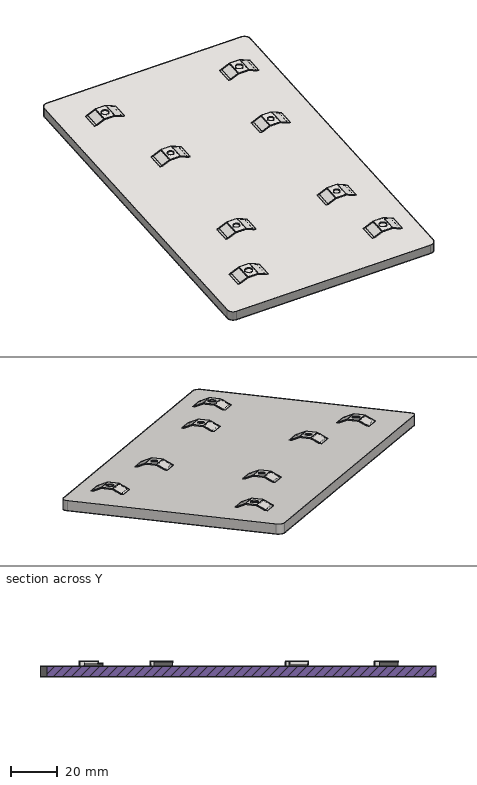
import cadquery as cq

TILT = 2.0
PLATE_LENGTH = 166.3
PLATE_WIDTH = 100.7
PLATE_THICKNESS = 4.5
CORNER_RADIUS = 2.9

CLIP_WIDTH = 8.0
CLIP_LENGTH = 14.8
CLIP_CROWN = 5.1
CLIP_HEIGHT = 2.2
CLIP_SHEET = 0.5
OUTER_HOLE_DIAMETER = 3.4
INNER_HOLE_DIAMETER = 2.9

OUTER_CENTER = (0.0, 2.5)
OUTER_SPACING = (126.1, 65.6)
INNER_CENTER = (4.2, 5.0)
INNER_SPACING = (57.8, 49.0)


def rectangle_corners(center, spacing):
    """Return the four corners of a rectangle."""
    return [
        (center[0] + side_x * spacing[0] / 2, center[1] + side_y * spacing[1] / 2)
        for side_x in (-1, 1)
        for side_y in (-1, 1)
    ]


def tilted(body):
    """Turn a body about the plate's vertical centre line."""
    return body.rotate((0, 0, 0), (0, 0, 1), TILT)


def make_clip(position, hole_diameter):
    """Build a strip with a flat crown, two sloping legs and a hole in the crown."""
    foot = CLIP_LENGTH / 2
    crown = CLIP_CROWN / 2
    foot_contact = CLIP_SHEET * (foot - crown) / CLIP_HEIGHT
    underside = CLIP_HEIGHT - CLIP_SHEET
    profile = [
        (-foot, 0),
        (-crown, CLIP_HEIGHT),
        (crown, CLIP_HEIGHT),
        (foot, 0),
        (foot - foot_contact, 0),
        (crown, underside),
        (-crown, underside),
        (-foot + foot_contact, 0),
    ]
    strip = cq.Workplane("YZ").polyline(profile).close().extrude(CLIP_WIDTH / 2, both=True)
    hole = cq.Workplane("XY").circle(hole_diameter / 2).extrude(CLIP_HEIGHT)
    return strip.cut(hole).translate((position[0], position[1], PLATE_THICKNESS))


def make_plate():
    """Build the rounded plate with the inner clips formed as part of it."""
    plate = (
        cq.Workplane("XY")
        .box(PLATE_LENGTH, PLATE_WIDTH, PLATE_THICKNESS, centered=(True, True, False))
        .edges("|Z")
        .fillet(CORNER_RADIUS)
    )
    for position in rectangle_corners(INNER_CENTER, INNER_SPACING):
        plate = plate.union(make_clip(position, INNER_HOLE_DIAMETER))
    return tilted(plate)


plate = make_plate()
outer_clips = [
    tilted(make_clip(position, OUTER_HOLE_DIAMETER))
    for position in rectangle_corners(OUTER_CENTER, OUTER_SPACING)
]

result = cq.Compound.makeCompound([plate.val(), *[clip.val() for clip in outer_clips]])